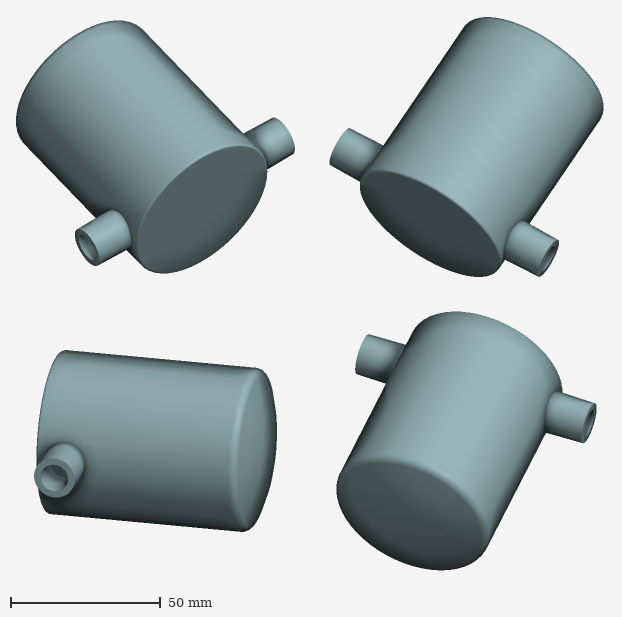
import cadquery as cq
import math

body_diameter = 55.05
body_length = 74.0
crown_radius = 68.5
knuckle_radius = 2.9
end_fillet = 0.8

span = 81.2
stub_from_end = 9.7
stub_root_diameter = 14.45
stub_tip_diameter = 14.0
stub_bore_diameter = 9.5

body_radius = body_diameter / 2
stub_length = span / 2 - body_radius
stub_x = body_length - stub_from_end


def crown_point(angle):
    """Point on the crown arc, at an angle from the body axis about the crown center."""
    return (crown_radius * (1 - math.cos(angle)), crown_radius * math.sin(angle))


def make_body():
    """Revolve the half profile: crowned dome, rounded knuckle, straight wall, flat end."""
    center_gap = crown_radius - knuckle_radius
    rim_angle = math.asin((body_radius - knuckle_radius) / center_gap)
    wall_start = (crown_radius - center_gap * math.cos(rim_angle), body_radius)
    profile = (
        cq.Workplane("XY")
        .moveTo(0, 0)
        .threePointArc(crown_point(rim_angle / 2), crown_point(rim_angle))
        .tangentArcPoint(wall_start, relative=False)
        .lineTo(body_length, body_radius)
        .lineTo(body_length, 0)
        .close()
    )
    body = profile.revolve(360, (0, 0, 0), (1, 0, 0))
    return body.faces(">X").edges().fillet(end_fillet)


def make_stub(side):
    """Tapered stub on the +Y (side = 1) or -Y (side = -1) flank, running in to the body axis."""
    taper = (stub_root_diameter - stub_tip_diameter) / 2 / stub_length
    inner_radius = stub_tip_diameter / 2 + taper * span / 2
    return cq.Workplane(
        cq.Solid.makeCone(
            inner_radius, stub_tip_diameter / 2, span / 2,
            cq.Vector(stub_x, 0, 0), cq.Vector(0, side, 0),
        )
    )


def make_bore(side):
    """Blind bore from the stub tip in to the depth of the body wall."""
    return cq.Workplane(
        cq.Solid.makeCylinder(
            stub_bore_diameter / 2, stub_length,
            cq.Vector(stub_x, side * span / 2, 0), cq.Vector(0, -side, 0),
        )
    )


result = make_body()
for side in (-1, 1):
    result = result.union(make_stub(side)).cut(make_bore(side))